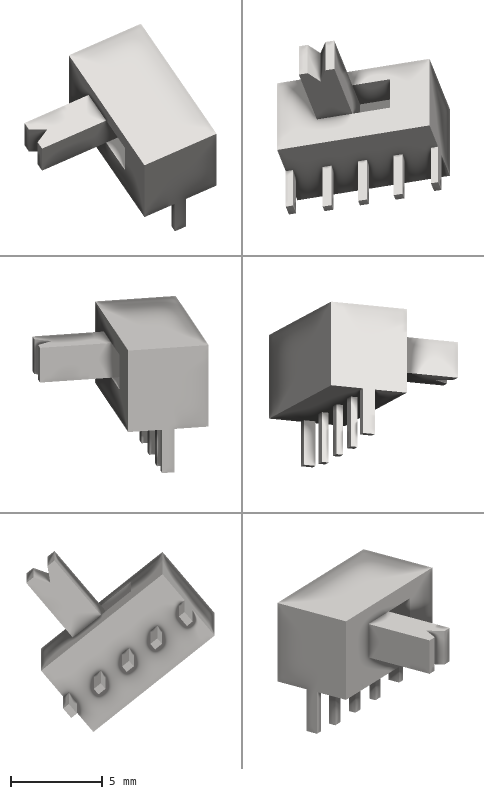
import cadquery as cq
import math

housing_length = 8.6
housing_depth = 4.5
housing_height = 4.7
front_y = -housing_depth / 2

window_length = 4.12
window_height = 2.0
window_depth = 1.7
window_top_margin = 1.0
window_center_z = housing_height - window_top_margin - window_height / 2

lever_width = 2.0
lever_reach = 4.0
notch_width = 1.0
notch_depth = notch_width * math.sqrt(3) / 2
lever_center_x = -window_length / 2 + lever_width / 2

terminal_width = 0.5
terminal_thickness = 0.4
terminal_length = 2.795
terminal_pitch = 2.0
leg_width = 0.4
leg_thickness = 0.7
leg_length = 2.5


def make_housing():
    body = cq.Workplane("XY").box(
        housing_length, housing_depth, housing_height, centered=(True, True, False)
    )
    window = cq.Workplane("XY").box(window_length, window_depth, window_height)
    window_center_y = front_y + window_depth / 2
    return body.cut(window.translate((0, window_center_y, window_center_z)))


def make_lever():
    """Plan outline of the lever, from the window floor to the notched tip."""
    tip_y = front_y - lever_reach
    root_y = front_y + window_depth
    half_width = lever_width / 2
    half_notch = notch_width / 2
    outline = [
        (-half_width, root_y),
        (-half_width, tip_y),
        (-half_notch, tip_y),
        (0, tip_y + notch_depth),
        (half_notch, tip_y),
        (half_width, tip_y),
        (half_width, root_y),
    ]
    lever = cq.Workplane("XY").polyline(outline).close().extrude(window_height)
    return lever.translate((lever_center_x, 0, window_center_z - window_height / 2))


def make_pin(x, width, thickness, length):
    """Rectangular pin hanging from the underside of the housing."""
    pin = cq.Workplane("XY").box(width, thickness, length)
    return pin.translate((x, 0, -length / 2))


result = make_housing().union(make_lever())

for step in (-1, 0, 1):
    result = result.union(
        make_pin(step * terminal_pitch, terminal_width, terminal_thickness, terminal_length)
    )

for side in (-1, 1):
    leg_x = side * (housing_length - leg_width) / 2
    result = result.union(make_pin(leg_x, leg_width, leg_thickness, leg_length))